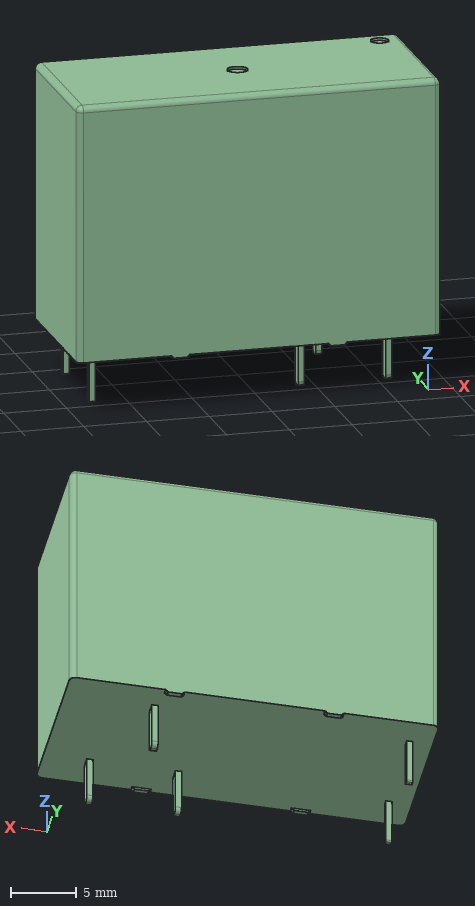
import cadquery as cq

case_length = 29.0
case_width = 12.7
case_height = 20.6
edge_radius = 0.5

vent_mark = (0.0, 0.0, 1.6)
corner_mark = (12.55, 4.52, 1.4)
mark_depth = 0.2

foot_spacing = 12.53
foot_length = 1.5
foot_height = 0.2
foot_width = 0.4

pin_length = 3.92
pin_thickness = 0.5
pin_row_spacing = 7.6
coil_pin_x = -12.67
coil_pin_width = 0.5
coil_tip_radius = 0.12
contact_pin_x = 7.4
contact_pitch = 3.48
contact_pin_width = 1.0
contact_tip_radius = 0.4


def make_case():
    """Box standing on Z = 0 with rounded upright and top edges."""
    box = cq.Workplane("XY").box(case_length, case_width, case_height, centered=(True, True, False))
    return box.edges("|Z or >Z").fillet(edge_radius)


def make_mark(x, y, diameter):
    """Shallow round recess cutter reaching down from the top face."""
    top = cq.Workplane("XY", origin=(x, y, case_height))
    return top.circle(diameter / 2).extrude(-mark_depth)


def make_foot(x, side):
    """Foot flush with one long face (-1 front, +1 back), its ends sloping at 45 degrees."""
    half_length = foot_length / 2
    half_tip = half_length - foot_height
    outer_face = cq.Workplane("XZ", origin=(x, side * case_width / 2, 0))
    profile = [
        (-half_length, 0),
        (-half_tip, -foot_height),
        (half_tip, -foot_height),
        (half_length, 0),
    ]
    return outer_face.polyline(profile).close().extrude(side * foot_width)


def make_pin(x, side, width, tip_radius):
    """Flat terminal hanging from the case, with its tip rounded across its width."""
    y = side * pin_row_spacing / 2
    pin = (
        cq.Workplane("XY", origin=(x, y, 0))
        .rect(pin_thickness, width)
        .extrude(-pin_length)
    )
    return pin.edges("<Z and |X").fillet(tip_radius)


result = make_case()

for mark in (vent_mark, corner_mark):
    result = result.cut(make_mark(*mark))

for side in (-1, 1):
    for foot_x in (-foot_spacing / 2, foot_spacing / 2):
        result = result.union(make_foot(foot_x, side))
    result = result.union(make_pin(coil_pin_x, side, coil_pin_width, coil_tip_radius))

for step, side in ((-1, -1), (0, 1), (1, -1)):
    pin_x = contact_pin_x + step * contact_pitch
    result = result.union(make_pin(pin_x, side, contact_pin_width, contact_tip_radius))